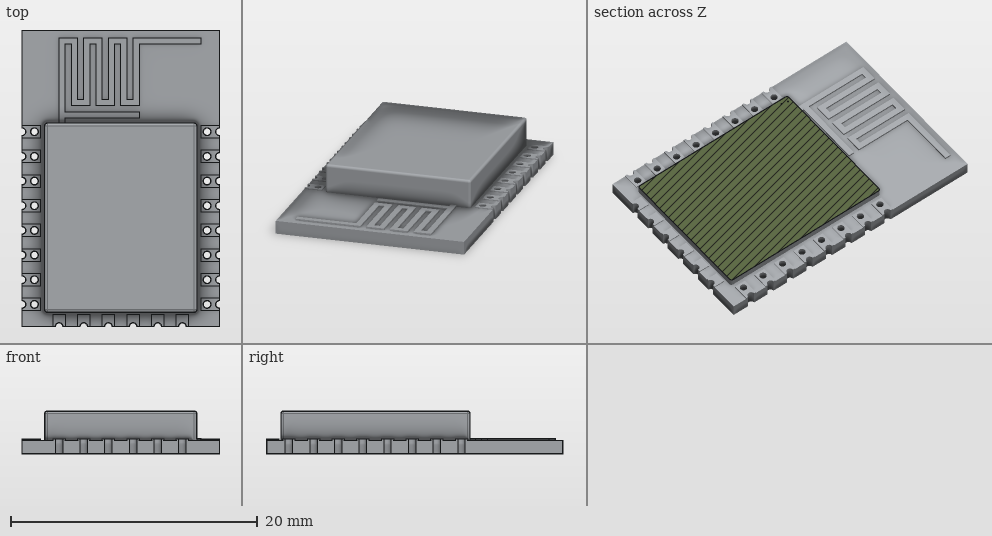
import cadquery as cq

BOARD_WIDTH = 16.0
BOARD_LENGTH = 24.0
BOARD_THICKNESS = 1.1
TOTAL_HEIGHT = 3.48

SHIELD_WIDTH = 12.34
SHIELD_LENGTH = 15.34
SHIELD_FRONT_MARGIN = 1.15
SHIELD_EDGE_RADIUS = 0.22

SIDE_PAD_COUNT = 8
SIDE_ROW_LENGTH = 14.0
SIDE_ROW_FRONT_MARGIN = 1.8
FRONT_PAD_COUNT = 6
PAD_WIDTH = 1.0
SIDE_PAD_LENGTH = 1.5
FRONT_PAD_LENGTH = 0.98
PAD_THICKNESS = 0.1
HOLE_DIAMETER = 0.6
HOLE_INSET = 1.0

ANTENNA_LEFT_MARGIN = 3.0
ANTENNA_BACK_MARGIN = 0.6
ANTENNA_THICKNESS = 0.15
MEANDER_WIDTH = 6.5
MEANDER_LOOPS = 3
MEANDER_DEPTH = 5.5
TAIL_LENGTH = 5.5

half_width = BOARD_WIDTH / 2
half_length = BOARD_LENGTH / 2
pad_pitch = SIDE_ROW_LENGTH / (SIDE_PAD_COUNT - 1)
side_row_front_y = -half_length + SIDE_ROW_FRONT_MARGIN
side_pad_ys = [side_row_front_y + i * pad_pitch for i in range(SIDE_PAD_COUNT)]
front_pad_xs = [(i - (FRONT_PAD_COUNT - 1) / 2) * pad_pitch for i in range(FRONT_PAD_COUNT)]
shield_front_y = -half_length + SHIELD_FRONT_MARGIN
shield_back_y = shield_front_y + SHIELD_LENGTH


def block(x_min, x_max, y_min, y_max, height, z_min=BOARD_THICKNESS):
    """Box between the given X and Y limits, standing on z_min."""
    corner = cq.Workplane("XY", origin=(x_min, y_min, z_min))
    return corner.box(x_max - x_min, y_max - y_min, height, centered=False)


def make_board():
    return block(-half_width, half_width, -half_length, half_length, BOARD_THICKNESS, z_min=0)


def make_shield():
    half_shield = SHIELD_WIDTH / 2
    shield_height = TOTAL_HEIGHT - BOARD_THICKNESS
    can = block(-half_shield, half_shield, shield_front_y, shield_back_y, shield_height)
    return can.edges("|Z or >Z").fillet(SHIELD_EDGE_RADIUS)


def make_pad_row(centres, size_x, size_y):
    """Flat pads of one size on the top of the board."""
    top_face = cq.Workplane("XY", origin=(0, 0, BOARD_THICKNESS))
    return top_face.pushPoints(centres).rect(size_x, size_y).extrude(PAD_THICKNESS)


def make_pads():
    side_pad_x = half_width - SIDE_PAD_LENGTH / 2
    front_pad_y = -half_length + FRONT_PAD_LENGTH / 2
    side_centres = [(x, y) for x in (-side_pad_x, side_pad_x) for y in side_pad_ys]
    front_centres = [(x, front_pad_y) for x in front_pad_xs]
    side_pads = make_pad_row(side_centres, SIDE_PAD_LENGTH, PAD_WIDTH)
    front_pads = make_pad_row(front_centres, PAD_WIDTH, FRONT_PAD_LENGTH)
    return side_pads.union(front_pads)


def make_pad_holes():
    """Through holes in the side pads and edge notches in every pad."""
    side_xs = [side * x for side in (-1, 1) for x in (half_width, half_width - HOLE_INSET)]
    centres = [(x, y) for x in side_xs for y in side_pad_ys]
    centres += [(x, -half_length) for x in front_pad_xs]
    depth = BOARD_THICKNESS + PAD_THICKNESS
    return cq.Workplane("XY").pushPoints(centres).circle(HOLE_DIAMETER / 2).extrude(depth)


def make_antenna():
    strand_count = 2 * MEANDER_LOOPS + 1
    trace = MEANDER_WIDTH / (2 * strand_count - 1)
    left = -half_width + ANTENNA_LEFT_MARGIN
    right = left + MEANDER_WIDTH
    back = half_length - ANTENNA_BACK_MARGIN
    meander_front = back - MEANDER_DEPTH

    antenna = block(left, left + trace, shield_back_y - SHIELD_EDGE_RADIUS, back, ANTENNA_THICKNESS)

    stub_back = meander_front - trace
    antenna = antenna.union(block(left, right, stub_back - trace, stub_back, ANTENNA_THICKNESS))

    for i in range(1, strand_count):
        x = left + 2 * i * trace
        link_front = meander_front if i % 2 == 0 else back - trace
        antenna = antenna.union(block(x, x + trace, meander_front, back, ANTENNA_THICKNESS))
        antenna = antenna.union(
            block(x - 2 * trace, x + trace, link_front, link_front + trace, ANTENNA_THICKNESS)
        )

    tail_left = right - trace
    tail = block(tail_left, tail_left + TAIL_LENGTH, back - trace, back, ANTENNA_THICKNESS)
    return antenna.union(tail)


result = make_board().union(make_pads()).cut(make_pad_holes()).union(make_shield()).union(make_antenna())